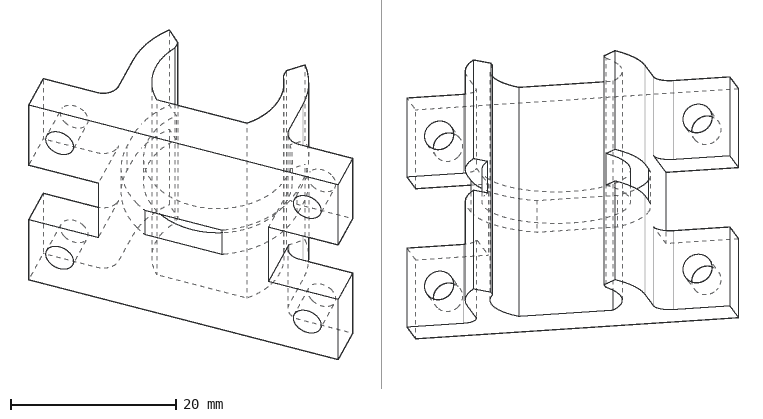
import cadquery as cq
import math

plate_length = 40.0
plate_height = 29.0
plate_thickness = 5.0
notch_height = 9.0

hole_diameter = 3.6
hole_spacing_x = 32.0
hole_spacing_z = 19.0

bore_radius = 8.0
clip_radius = 11.0
clip_center_y = 11.8
seat_y = 6.3
lip_half_gap = 7.0
tip_y = 18.45
root_fillet = 2.0

channel_height = 4.0
channel_inner_radius = 9.0
channel_outer_radius = clip_radius
channel_outer_center_y = 9.8

tip_x = math.sqrt(clip_radius**2 - (tip_y - clip_center_y)**2)
lip_y = tip_y - (tip_x - lip_half_gap)
bore_lip_y = clip_center_y + math.sqrt(bore_radius**2 - lip_half_gap**2)
seat_half_width = math.sqrt(bore_radius**2 - (clip_center_y - seat_y)**2)


def upright_prism(outline, height):
    """Extrude an XY outline along Z, centered on Z = 0."""
    return outline.extrude(height).translate((0, 0, -height / 2))


def arc_middle(start, end):
    """Point halfway along a clip arc that runs from start to end about the clip center."""
    radius = math.hypot(start[0], start[1] - clip_center_y)
    start_angle = math.atan2(start[1] - clip_center_y, start[0])
    end_angle = math.atan2(end[1] - clip_center_y, end[0])
    angle = (start_angle + end_angle) / 2
    return radius * math.cos(angle), clip_center_y + radius * math.sin(angle)


def make_body():
    """Plate and clip as one constant section, filleted where the clip meets the plate."""
    clip_side = (clip_radius, clip_center_y)
    tip = (tip_x, tip_y)
    bore_lip = (lip_half_gap, bore_lip_y)
    seat_corner = (seat_half_width, seat_y)
    half_section = (
        cq.Workplane("XY")
        .lineTo(plate_length / 2, 0)
        .lineTo(plate_length / 2, plate_thickness)
        .lineTo(clip_radius + root_fillet, plate_thickness)
        .radiusArc((clip_radius, plate_thickness + root_fillet), root_fillet)
        .lineTo(*clip_side)
        .threePointArc(arc_middle(clip_side, tip), tip)
        .lineTo(lip_half_gap, lip_y)
        .lineTo(*bore_lip)
        .threePointArc(arc_middle(bore_lip, seat_corner), seat_corner)
        .lineTo(0, seat_y)
        .close()
    )
    half_body = upright_prism(half_section, plate_height)
    return half_body.union(half_body.mirror("YZ"))


def make_notches():
    """Rectangular cutouts in both ends of the plate, flush with the clip sides."""
    notch_length = plate_length / 2 - clip_radius
    notch_depth = plate_thickness + root_fillet
    notch_x = (plate_length / 2 + clip_radius) / 2
    return (
        cq.Workplane("XY")
        .pushPoints([(-notch_x, notch_depth / 2), (notch_x, notch_depth / 2)])
        .box(notch_length, notch_depth, notch_height)
    )


def make_holes():
    """Four through holes in the corners of the plate."""
    return (
        cq.Workplane("XZ")
        .rarray(hole_spacing_x, hole_spacing_z, 2, 2)
        .circle(hole_diameter / 2)
        .extrude(-plate_thickness)
    )


def make_strap_channel():
    """Curved channel, open to the plate face and to the outside of both clip arms."""
    outer = upright_prism(
        cq.Workplane("XY").center(0, channel_outer_center_y).circle(channel_outer_radius),
        channel_height,
    )
    open_length = tip_y - channel_outer_center_y
    open_sides = upright_prism(
        cq.Workplane("XY")
        .center(0, channel_outer_center_y + open_length / 2)
        .rect(2 * channel_outer_radius, open_length),
        channel_height,
    )
    core = upright_prism(
        cq.Workplane("XY").center(0, clip_center_y).circle(channel_inner_radius),
        channel_height,
    )
    return outer.union(open_sides).cut(core)


result = make_body().cut(make_notches()).cut(make_holes()).cut(make_strap_channel())